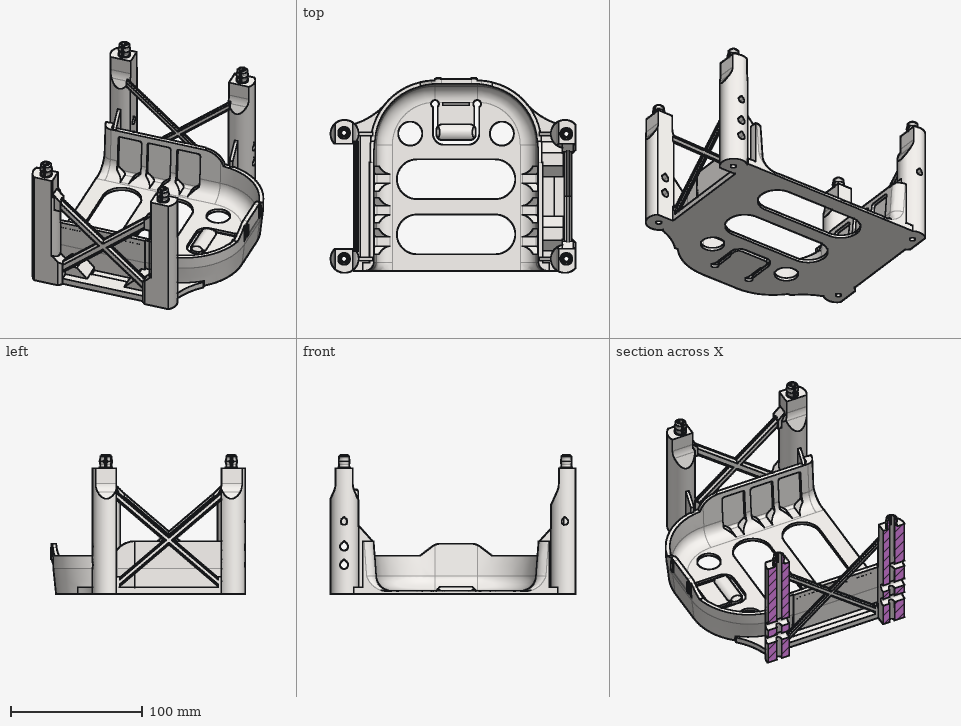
import cadquery as cq
import math

FLOOR = 2.5
BASE = 5.0
CORNER_X = 16.2
CORNER_Y = 96.2
FLOOR_R = 32.5
BEND_R, BEND_Z = 44.5, 14.0
RIM_R, RIM_Z = 46.5, 40.3
DRAFT = (RIM_R - BEND_R) / (RIM_Z - BEND_Z)
SKIN_R = 46.6
SKIN_BREAK_R, SKIN_BREAK_Z = 48.7, 19.8
SKIN_RIM_R = 49.0
SIDE_EXTRA = 0.7
MARGIN = 1.9

RIM_CURVE_START, RIM_CURVE_R = 82.8, 17.2
REAR_RIM_Z = 29.3
REAR_LIMIT = 153.0
HUMP_Z, HUMP_HALF = 38.5, 11.4
HUMP_BEND_X, HUMP_BEND_Z = 19.0, 35.6
HUMP_CURVE_X, HUMP_CURVE_Z = 15.7, 37.7
HUMP_FOOT_X = 27.5
PLATE_Y, PLATE_Z0, PLATE_Z1 = 146.2, 16.2, 26.7
TAB_X, TAB_WIDTH, TAB_Y, TAB_TOP = 13.5, 3.5, 147.0, 35.5

FLARE_LENGTH, FLARE_OUT = 6.9, 7.5
FLARE_STEPS = 4
LIP_X, LIP_DEPTH = 71.0, 6.3

LENGTH = 186.5
POST_R = 21.5 / 2
POST_TOP = 95.9
LEFT_X, RIGHT_X = -84.9, 82.8
FRONT_Y, REAR_Y = 9.3, 104.5
MID_Y = (FRONT_Y + REAR_Y) / 2
POST_FLAT = 7.6
INNER_FRONT, INNER_REAR = FRONT_Y + POST_FLAT, REAR_Y - POST_FLAT
BEHIND, AHEAD = REAR_Y + 2 * POST_R, FRONT_Y - 2 * POST_R
LEFT_NECK = (-91.8, -78.5)
RIGHT_NECK = (78.1, LEFT_X - POST_R + LENGTH)
SHOULDER_Z = 81.0
SHOULDER_SLOPE = 2.2
SHOULDER_R = 15.9

SMALL_HOLE_D, SMALL_HOLE_Z = 5.0, 55.2
LARGE_HOLE_D, LARGE_HOLE_ZS = 6.0, (22.2, 36.2)

PIN_TOP = 106.0
PIN_D, RIDGE_D, BORE_D = 8.0, 9.1, 4.3
PIN_FLAT_WIDTH = 8.4
PIN_CHAMFER = 1.3
PIN_SLOT = 1.3
COLLAR = 0.5
RIDGE_Z, RIDGE_HALF = 100.9, 2.0
LEFT_PIN_X, RIGHT_PIN_X = LEFT_X - 0.4, RIGHT_X + 1.1
LEFT_REAR_PIN_Y = REAR_Y + 0.7
PINS = ((LEFT_PIN_X, FRONT_Y), (LEFT_PIN_X, LEFT_REAR_PIN_Y), (RIGHT_PIN_X, FRONT_Y), (RIGHT_PIN_X, REAR_Y))

LEFT_EDGE, RIGHT_EDGE = -78.0, 87.8
WING_END = (76.5, 112.3)
WING_MID = (66.2, 117.0)
WING_START = (54.6, 126.0)
LEFT_RAIL_X, RIGHT_RAIL_X = -73.0, 74.6

POCKET_YS = (22.5, 46.3, 70.3)
POCKET_FLOOR_Z = FLOOR + 0.1
POCKET_FLOOR_WIDTH, POCKET_WIDTH = 6.9, 19.2
POCKET_FLANK_Z = 7.5
POCKET_TOP = 35.5
POCKET_DEPTH = 2.6
POCKET_ROUND, POCKET_BEND_R = 2.2, 2.2

SLOT_YS = (28.0, 70.0)
SLOT_LENGTH, SLOT_WIDTH = 89.9, 30.0
HOLE_D, HOLE_X, HOLE_Y = 18.0, 34.9, 104.6
TONGUE_HALF, TONGUE_END, TONGUE_ROOT = 14.0, 99.5, 127.2
GAP_HALF, GAP_END, GAP_CORNER_R = 17.5, 96.2, 8.4
RELIEF_D, RELIEF_X = 5.8, 16.0
GRIP_HALF, GRIP_TOP_HALF = 15.1, 12.3
GRIP_REAR, GRIP_Z = 111.7, 5.6
GRIP_CORNER_R = 4.7
HINGE_HALF, HINGE_FRONT, HINGE_REAR, HINGE_DEPTH = 10.0, 126.0, 128.1, 1.1

BRACE_SLOPE = 0.85
LEFT_BRACE_X = (LEFT_EDGE, -74.5)
LEFT_BRACE_Z, LEFT_BRACE_T, LEFT_BRACE_CHAMFER = 41.0, 5.0, 1.1
RIGHT_BRACE_X = (82.2, RIGHT_EDGE)
RIGHT_BRACE_Z, RIGHT_BRACE_T, RIGHT_BRACE_CHAMFER = 42.7, 7.6, 1.9
LEFT_FOOT_DEPTH, LEFT_FOOT_Z = 2.5, 13.0
RIGHT_SEAT_X0 = 81.0
RIGHT_FOOT_X, RIGHT_FOOT_Y, RIGHT_FOOT_Z, RIGHT_FOOT_CHAMFER = RIGHT_NECK[1], 24.2, 26.1, 2.6
RIGHT_HEAD_X, RIGHT_HEAD_Y, RIGHT_HEAD_Z0, RIGHT_HEAD_Z1 = 89.3, 22.8, 68.0, 82.5
GUSSET_T, GUSSET_SLOPE = 2.6, 1.1
GUSSET_TOE_X = CORNER_X + RIM_R + 0.7
REAR_GUSSET_DROP = 5.6
RIB_END_X = 81.7
RIB_FRONT, RIB_REAR, RIB_RISE = 15.5, 41.8, 8.2


def box(x0, x1, y0, y1, z0, z1):
    return cq.Workplane("XY").box(x1 - x0, y1 - y0, z1 - z0, centered=False).translate((x0, y0, z0))


def outline(plane, points):
    return cq.Workplane(plane).polyline(points).close()


def extrude_x(sketch, x0, x1):
    """Extrude a YZ outline from x0 to x1."""
    return sketch.extrude(x1 - x0).translate((x0, 0, 0))


def extrude_y(sketch, y0, y1):
    """Extrude an XZ outline, whose workplane normal is -Y, from y0 to y1."""
    return sketch.extrude(y0 - y1).translate((0, y0, 0))


def both_sides(solid):
    """A feature and its mirror image about X = 0."""
    return solid.union(solid.mirror("YZ"))


def both_posts(solid):
    """A feature at a front post and its mirror image at the rear post."""
    return solid.union(solid.mirror("XZ", (0, MID_Y, 0)))


def cavity_half(plane, offset=0.0, flare=0.0):
    """Half section of the hollow: floor, rounding and drafted wall, the wall moved out by flare."""
    floor_x, bend_x = FLOOR_R + offset, BEND_R + offset + flare
    top_x, top_z = RIM_R + DRAFT * MARGIN + offset + flare, RIM_Z + MARGIN
    arc_mid = (floor_x + (bend_x - floor_x) * math.sqrt(0.5),
               BEND_Z - (BEND_Z - FLOOR) * math.sqrt(0.5))
    return (cq.Workplane(plane).moveTo(0, FLOOR).lineTo(floor_x, FLOOR)
            .threePointArc(arc_mid, (bend_x, BEND_Z))
            .lineTo(top_x, top_z).lineTo(0, top_z).close())


def skin_half(plane, offset=0.0):
    """Half section of the solid tray inside its outer skin."""
    return outline(plane, [(0, 0), (SKIN_R + offset, 0), (SKIN_BREAK_R + offset, SKIN_BREAK_Z),
                           (SKIN_RIM_R + offset, RIM_Z), (0, RIM_Z)])


def sweep_round_tray(section):
    """Straight sides, two rounded rear corners and a straight back."""
    side = extrude_y(section("XZ", CORNER_X), 0, CORNER_Y)
    corner = section("XZ").revolve(90, (0, 0, 0), (0, 1, 0)).translate((CORNER_X, CORNER_Y, 0))
    back = extrude_x(section("YZ"), 0, CORNER_X).translate((0, CORNER_Y, 0))
    return both_sides(side.union(corner).union(back))


def front_flare():
    """Hollow whose walls round outward toward the open front edge."""
    wires = []
    for step in range(FLARE_STEPS + 1):
        angle = math.radians(90 * step / FLARE_STEPS)
        y = FLARE_LENGTH * (1 - math.sin(angle))
        plane = cq.Plane(origin=(0, y, 0), xDir=(1, 0, 0), normal=(0, -1, 0))
        section = cavity_half(plane, CORNER_X, FLARE_OUT * (1 - math.cos(angle)))
        wires.append(section.wires().val())
    return both_sides(cq.Workplane(cq.Solid.makeLoft(wires)))


def rear_rim_cut():
    """Lowers the rim around the rear but leaves the central hump."""
    above = RIM_Z + MARGIN
    drop = RIM_Z - REAR_RIM_Z
    end_angle = math.acos(1 - drop / RIM_CURVE_R)
    curve = []
    for angle in (end_angle / 2, end_angle):
        curve.append((RIM_CURVE_START + RIM_CURVE_R * math.sin(angle),
                      RIM_Z - RIM_CURVE_R * (1 - math.cos(angle))))
    cut = extrude_x(
        cq.Workplane("YZ").moveTo(RIM_CURVE_START, RIM_Z).threePointArc(*curve)
        .lineTo(REAR_LIMIT, REAR_RIM_Z).lineTo(REAR_LIMIT, above).lineTo(RIM_CURVE_START, above).close(),
        -LIP_X, LIP_X)
    hump = extrude_y(
        cq.Workplane("XZ").moveTo(-HUMP_FOOT_X, REAR_RIM_Z).lineTo(-HUMP_BEND_X, HUMP_BEND_Z)
        .threePointArc((-HUMP_CURVE_X, HUMP_CURVE_Z), (-HUMP_HALF, HUMP_Z)).lineTo(HUMP_HALF, HUMP_Z)
        .threePointArc((HUMP_CURVE_X, HUMP_CURVE_Z), (HUMP_BEND_X, HUMP_BEND_Z))
        .lineTo(HUMP_FOOT_X, REAR_RIM_Z).close(),
        CORNER_Y + FLOOR_R, REAR_LIMIT)
    return cut.cut(hump)


def hump_back():
    """Thickened back of the hump with two small outer tabs."""
    inner = CORNER_Y + RIM_R
    plate = extrude_x(
        outline("YZ", [(inner, PLATE_Z0), (CORNER_Y + SKIN_BREAK_R - MARGIN, PLATE_Z0), (PLATE_Y, PLATE_Z1),
                       (PLATE_Y, RIM_Z), (inner, RIM_Z)]), -CORNER_X, CORNER_X)
    half = TAB_WIDTH / 2
    tab = box(TAB_X - half, TAB_X + half, inner, TAB_Y, PLATE_Z1, TAB_TOP)
    return plate.union(both_sides(tab))


def base_plate():
    """Plate under the whole tray with two concave wings behind the rear posts."""
    plate = (cq.Workplane("XY").moveTo(LEFT_EDGE, 0).lineTo(RIGHT_EDGE, 0)
             .lineTo(RIGHT_EDGE, REAR_Y).lineTo(*WING_END)
             .threePointArc(WING_MID, WING_START)
             .lineTo(-WING_START[0], WING_START[1])
             .threePointArc((-WING_MID[0], WING_MID[1]), (-WING_END[0], WING_END[1]))
             .lineTo(LEFT_EDGE, REAR_Y).close().extrude(BASE))
    return plate.cut(box(LEFT_RAIL_X, RIGHT_RAIL_X, FRONT_Y, REAR_Y, FLOOR, BASE))


def side_walls():
    """Thicker straight walls, upright below the break, and the lips at their front ends."""
    reach = CORNER_X + SIDE_EXTRA
    profile = outline("XZ", [(0, 0), (reach + SKIN_BREAK_R, 0), (reach + SKIN_BREAK_R, SKIN_BREAK_Z),
                             (reach + SKIN_RIM_R, RIM_Z), (0, RIM_Z)])
    wall = extrude_y(profile, 0, RIM_CURVE_START)
    lip = box(CORNER_X + FLOOR_R, LIP_X, 0, LIP_DEPTH, 0, RIM_Z)
    return both_sides(wall.union(lip))


def gusset(post_x, y, toe_z):
    """Upright plate from a post down to the tray wall."""
    toe_x = math.copysign(GUSSET_TOE_X, post_x)
    top = toe_z + GUSSET_SLOPE * abs(post_x - toe_x)
    sketch = outline("XZ", [(toe_x, 0), (toe_x, toe_z), (post_x, top), (post_x, 0)])
    return extrude_y(sketch, y - GUSSET_T / 2, y + GUSSET_T / 2)


def right_ribs():
    """Two low ribs with sloping ends between the right wall and the right rail."""
    rib = outline("YZ", [(RIB_FRONT, FLOOR), (RIB_FRONT, BASE), (RIB_FRONT + RIB_RISE, BASE + RIB_RISE),
                         (RIB_REAR - RIB_RISE, BASE + RIB_RISE), (RIB_REAR, BASE), (RIB_REAR, FLOOR)])
    return both_posts(extrude_x(rib, CORNER_X + BEND_R, RIB_END_X))


def wall_pocket(y):
    """Shallow recess in the right wall with sloping flanks at the floor."""
    half_floor, half = POCKET_FLOOR_WIDTH / 2, POCKET_WIDTH / 2
    front_shape = outline("YZ", [(y - half_floor, POCKET_FLOOR_Z), (y + half_floor, POCKET_FLOOR_Z),
                                 (y + half, POCKET_FLANK_Z), (y + half, POCKET_TOP),
                                 (y - half, POCKET_TOP), (y - half, POCKET_FLANK_Z)])
    width = extrude_x(front_shape, 0, LIP_X).edges("|X and >Z").fillet(POCKET_ROUND)
    x_start = CORNER_X + FLOOR_R
    x_back = CORNER_X + BEND_R + POCKET_DEPTH
    x_floor = x_back - DRAFT * (BEND_Z - POCKET_FLOOR_Z)
    x_top = x_back + DRAFT * (POCKET_TOP - BEND_Z)
    depth = extrude_y(
        outline("XZ", [(x_start, POCKET_FLOOR_Z), (x_floor, POCKET_FLOOR_Z), (x_top, POCKET_TOP),
                       (x_start, POCKET_TOP)]), y - half, y + half)
    bend_edge = cq.selectors.NearestToPointSelector((x_floor, y, POCKET_FLOOR_Z))
    return width.intersect(depth.edges(bend_edge).fillet(POCKET_BEND_R))


def floor_openings():
    slots = (cq.Workplane("XY").pushPoints([(0, y) for y in SLOT_YS])
             .slot2D(SLOT_LENGTH, SLOT_WIDTH).extrude(BASE))
    holes = cq.Workplane("XY").pushPoints([(-HOLE_X, HOLE_Y), (HOLE_X, HOLE_Y)]).circle(HOLE_D / 2)
    return slots.union(holes.extrude(BASE))


def tongue_gap():
    """U-shaped gap that frees the spring tongue, with round reliefs at its root."""
    gap = box(-GAP_HALF, GAP_HALF, GAP_END, TONGUE_ROOT, 0, BASE).edges("|Z and <Y").fillet(GAP_CORNER_R)
    tongue = box(-TONGUE_HALF, TONGUE_HALF, TONGUE_END, TONGUE_ROOT, 0, BASE)
    tongue = tongue.edges("|Z and <Y").fillet(GRIP_CORNER_R)
    reliefs = (cq.Workplane("XY").pushPoints([(-RELIEF_X, TONGUE_ROOT), (RELIEF_X, TONGUE_ROOT)])
               .circle(RELIEF_D / 2).extrude(BASE))
    return gap.cut(tongue).union(reliefs)


def tongue_grip():
    """Domed finger grip with sloping ends at the free end of the tongue."""
    along = extrude_x(
        cq.Workplane("YZ").moveTo(TONGUE_END, 0).lineTo(TONGUE_END, FLOOR)
        .threePointArc(((TONGUE_END + GRIP_REAR) / 2, GRIP_Z), (GRIP_REAR, FLOOR))
        .lineTo(GRIP_REAR, 0).close(), -GRIP_HALF, GRIP_HALF)
    across = extrude_y(
        outline("XZ", [(-GRIP_HALF, 0), (GRIP_HALF, 0), (GRIP_HALF, FLOOR), (GRIP_TOP_HALF, GRIP_Z),
                       (-GRIP_TOP_HALF, GRIP_Z), (-GRIP_HALF, FLOOR)]), TONGUE_END, GRIP_REAR)
    plan = box(-GRIP_HALF, GRIP_HALF, TONGUE_END, GRIP_REAR, 0, GRIP_Z).edges("|Z").fillet(GRIP_CORNER_R)
    return along.intersect(across).intersect(plan)


def tray():
    body = base_plate().union(sweep_round_tray(skin_half)).union(side_walls()).union(hump_back())
    body = body.cut(rear_rim_cut()).union(right_ribs())
    for post_x in (LEFT_X, RIGHT_X):
        body = body.union(gusset(post_x, FRONT_Y, RIM_Z))
        body = body.union(gusset(post_x, REAR_Y, RIM_Z - REAR_GUSSET_DROP))
    body = body.cut(sweep_round_tray(cavity_half)).cut(front_flare())
    for y in POCKET_YS:
        body = body.cut(both_sides(wall_pocket(y)))
    body = body.cut(floor_openings()).cut(tongue_gap()).union(tongue_grip())
    return body.cut(box(-HINGE_HALF, HINGE_HALF, HINGE_FRONT, HINGE_REAR, FLOOR - HINGE_DEPTH, FLOOR))


def shoulder_cut(flat_x, outward):
    """Narrows a post top to flat_x and slopes back out to the full post."""
    far_x = flat_x + outward * 2 * POST_R
    far_z = SHOULDER_Z - SHOULDER_SLOPE * 2 * POST_R
    profile = [(flat_x, POST_TOP), (flat_x, SHOULDER_Z), (far_x, far_z), (far_x, POST_TOP)]
    blend_edge = cq.selectors.NearestToPointSelector((flat_x, MID_Y, SHOULDER_Z))
    return extrude_y(outline("XZ", profile), AHEAD, BEHIND).edges(blend_edge).fillet(SHOULDER_R)


def round_posts(x):
    return cq.Workplane("XY").pushPoints([(x, FRONT_Y), (x, REAR_Y)]).circle(POST_R).extrude(POST_TOP)


def left_posts():
    """Flat toward each other over the full height, narrowed on both sides at the top."""
    between = box(LEFT_X - POST_R, LEFT_X + POST_R, INNER_FRONT, INNER_REAR, 0, POST_TOP)
    body = round_posts(LEFT_X).cut(between)
    return body.cut(shoulder_cut(LEFT_NECK[0], -1)).cut(shoulder_cut(LEFT_NECK[1], 1))


def right_posts():
    """Flat on the outside over the full height, flat toward each other only at the top."""
    outside = box(RIGHT_NECK[1], RIGHT_X + POST_R, AHEAD, BEHIND, 0, POST_TOP)
    shoulder_end = SHOULDER_Z - (POST_R - POST_FLAT) * SHOULDER_SLOPE
    between = extrude_x(
        outline("YZ", [(INNER_FRONT, POST_TOP), (INNER_FRONT, SHOULDER_Z), (FRONT_Y + POST_R, shoulder_end),
                       (REAR_Y - POST_R, shoulder_end), (INNER_REAR, SHOULDER_Z), (INNER_REAR, POST_TOP)]),
        RIGHT_X - POST_R, RIGHT_X + POST_R)
    return round_posts(RIGHT_X).cut(shoulder_cut(RIGHT_NECK[0], -1)).cut(outside).cut(between)


def pin():
    """Slotted pin, standing on Z = 0, with a snap ridge trimmed flat on two sides."""
    core, ridge, half = PIN_D / 2, RIDGE_D / 2, PIN_FLAT_WIDTH / 2
    height = PIN_TOP - POST_TOP
    ridge_z = RIDGE_Z - POST_TOP
    body = cq.Workplane("XY").circle(core).extrude(height).faces(">Z").chamfer(PIN_CHAMFER)
    body = body.union(cq.Workplane("XY").circle(ridge).extrude(COLLAR))
    profile = outline("XZ", [(0, ridge_z - RIDGE_HALF), (core, ridge_z - RIDGE_HALF), (ridge, ridge_z),
                             (core, ridge_z + RIDGE_HALF), (0, ridge_z + RIDGE_HALF)])
    ring = profile.revolve(360, (0, 0, 0), (0, 1, 0))
    body = body.union(ring.intersect(box(-half, half, -ridge, ridge, 0, height)))
    return body.cut(box(-ridge, ridge, -PIN_SLOT / 2, PIN_SLOT / 2, COLLAR, height))


def teardrop(x, z, diameter, y0, y1):
    """Round hole along Y with a pointed top."""
    r = diameter / 2
    s = r * math.sqrt(0.5)
    sketch = (cq.Workplane("XZ").moveTo(x - s, z + s).threePointArc((x, z - r), (x + s, z + s))
              .lineTo(x, z + 2 * s).close())
    return extrude_y(sketch, y0, y1)


def cross_brace(x_limits, center_z, thickness, chamfer):
    """Two crossed beams with chamfered edges between a front and a rear post."""
    x0, x1 = x_limits
    angle = math.atan(BRACE_SLOPE)
    length = (REAR_Y - FRONT_Y) / math.cos(angle)
    beams = []
    for tilt in (-1, 1):
        direction = cq.Vector(0, math.cos(angle), tilt * math.sin(angle))
        plane = cq.Plane(origin=((x0 + x1) / 2, MID_Y, center_z), xDir=(1, 0, 0), normal=direction)
        beam = cq.Workplane(plane).rect(x1 - x0, thickness).extrude(length / 2, both=True)
        beams.append(beam.edges(cq.selectors.ParallelDirSelector(direction)).chamfer(chamfer))
    reach = box(x0, x1, INNER_FRONT - MARGIN, INNER_REAR + MARGIN, 0, POST_TOP)
    return beams[0].union(beams[1]).intersect(reach)


def brace_seat(x0, x1, y_end, z0, z1):
    """Block on a front post whose top slopes down at 45 degrees from the post."""
    slope_end = z1 - (y_end - INNER_FRONT)
    return extrude_x(outline("YZ", [(FRONT_Y, z0), (y_end, z0), (y_end, slope_end),
                                    (INNER_FRONT, z1), (FRONT_Y, z1)]), x0, x1)


def brace_seats():
    left_foot = box(*LEFT_BRACE_X, INNER_FRONT, INNER_FRONT + LEFT_FOOT_DEPTH, 0, LEFT_FOOT_Z)
    right_foot = brace_seat(RIGHT_SEAT_X0, RIGHT_FOOT_X, RIGHT_FOOT_Y, 0, RIGHT_FOOT_Z)
    right_foot = right_foot.edges("|Z and >X and >Y").chamfer(RIGHT_FOOT_CHAMFER)
    right_head = brace_seat(RIGHT_SEAT_X0, RIGHT_HEAD_X, RIGHT_HEAD_Y, RIGHT_HEAD_Z0, RIGHT_HEAD_Z1)
    return both_posts(left_foot.union(right_foot).union(right_head))


result = tray().union(left_posts()).union(right_posts())
result = result.union(cross_brace(LEFT_BRACE_X, LEFT_BRACE_Z, LEFT_BRACE_T, LEFT_BRACE_CHAMFER))
result = result.union(cross_brace(RIGHT_BRACE_X, RIGHT_BRACE_Z, RIGHT_BRACE_T, RIGHT_BRACE_CHAMFER))
result = result.union(brace_seats())

for pin_x, pin_y in PINS:
    result = result.union(pin().translate((pin_x, pin_y, POST_TOP)))
result = result.cut(cq.Workplane("XY").pushPoints(PINS).circle(BORE_D / 2).extrude(PIN_TOP))

for hole_x in (LEFT_PIN_X, RIGHT_X):
    result = result.cut(teardrop(hole_x, SMALL_HOLE_Z, SMALL_HOLE_D, AHEAD, FRONT_Y))
for hole_z in LARGE_HOLE_ZS:
    result = result.cut(teardrop(LEFT_PIN_X, hole_z, LARGE_HOLE_D, AHEAD, BEHIND))